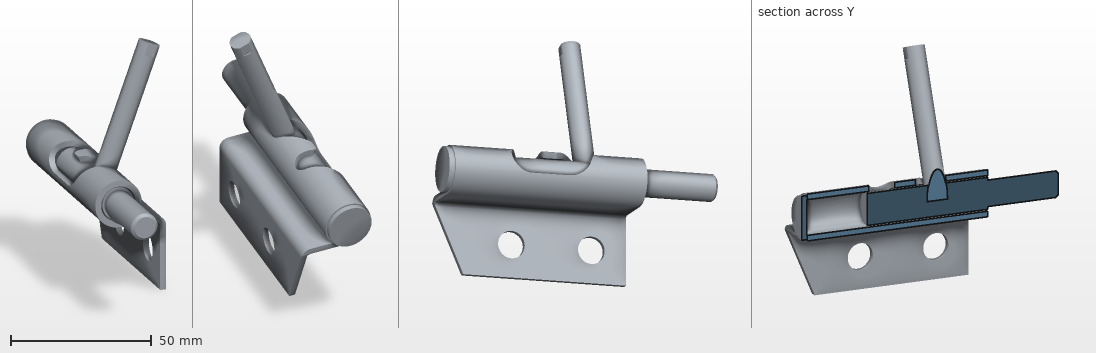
import cadquery as cq
import math


tube_length = 72.0
tube_radius = 8.8
plate_thickness = 2.2
bore_radius = 6.5
plate_back = 18.1
plate_bottom = -34.2
bend_inner_radius = 1.2
bend_outer_radius = bend_inner_radius + plate_thickness
corner_cut_length = 11.0
hole_diameter = 10.0
hole_positions = (29.1, 59.1)
hole_z = -22.1

cap_radius = 8.3
cap_thickness = 2.0

bolt_radius = 6.0
bolt_start = 23.9
rod_radius = 5.0
rod_projection = 27.9
rod_chamfer = 1.0

lever_x = 51.8
lever_tilt = 20.0
lever_radius = 4.0
lever_length = 55.6
flat_width = 7.1
flat_length = 4.3

slot_end_radius = 4.2
slot_end_height = tube_radius * math.radians(90 + lever_tilt)
pocket_x = 30.7
slot_bottom_height = -1.0
left_corner_x = 28.8
left_corner_radius = 6.9
right_corner_x = 42.6
right_corner_radius = 9.2
tab_tip_height = 10.0
tab_tip_end_x = 39.9
tab_corner_radius = 1.7
cut_margin = 1.0


def on_circle(circle, angle):
    """Point of an (x, y, radius) circle at an angle in radians."""
    x, y, radius = circle
    return (x + radius * math.cos(angle), y + radius * math.sin(angle))


def tangent_angle(first, second):
    """Angle of the points where the line from first to second touches both circles on its right."""
    dx = second[0] - first[0]
    dy = second[1] - first[1]
    lean = math.acos((first[2] - second[2]) / math.hypot(dx, dy))
    return math.atan2(dy, dx) - lean


def arc_round(outline, circle, start, end):
    """Line to the start of a counterclockwise arc, then the arc itself."""
    sweep = (end - start) % (2 * math.pi)
    outline = outline.lineTo(*on_circle(circle, start))
    return outline.threePointArc(on_circle(circle, start + sweep / 2), on_circle(circle, start + sweep))


def flat_slot():
    """Face of the guide slot as it lies with the tube wall unrolled."""
    left_corner = (left_corner_x, slot_bottom_height + left_corner_radius, left_corner_radius)
    right_corner = (right_corner_x, slot_bottom_height + right_corner_radius, right_corner_radius)
    lever_end = (lever_x, slot_end_height, slot_end_radius)
    pocket = (pocket_x, slot_end_height, slot_end_radius)
    tab_tip_end = (tab_tip_end_x, tab_tip_height, 0)
    tab_side_x = pocket_x + slot_end_radius
    tab_corner_inset = tab_corner_radius * (1 - math.sqrt(0.5))

    bottom = tangent_angle(left_corner, right_corner)
    right = tangent_angle(right_corner, lever_end)
    tab_slope = tangent_angle(lever_end, tab_tip_end)
    left = tangent_angle(pocket, left_corner)

    outline = cq.Workplane("XY").moveTo(*on_circle(left_corner, bottom))
    outline = arc_round(outline, right_corner, bottom, right)
    outline = arc_round(outline, lever_end, right, tab_slope)
    outline = outline.lineTo(tab_tip_end_x, tab_tip_height)
    outline = outline.lineTo(tab_side_x + tab_corner_radius, tab_tip_height)
    outline = outline.threePointArc(
        (tab_side_x + tab_corner_inset, tab_tip_height + tab_corner_inset),
        (tab_side_x, tab_tip_height + tab_corner_radius),
    )
    outline = arc_round(outline, pocket, 0, left)
    outline = arc_round(outline, left_corner, left, bottom)
    return cq.Face.makeFromWires(outline.close().wire().val())


def wrapped_slot():
    """Cutter for the guide slot, with walls that point at the tube axis."""
    to_surface = cq.Matrix([[0, -1 / tube_radius, 0, math.pi], [1, 0, 0, 0], [0, 0, 1, 0]])
    slot = flat_slot().transformGeometry(to_surface)
    inner_radius = bore_radius - cut_margin
    cylinder = cq.Solid.makeCylinder(inner_radius, tube_length)
    side = cylinder.faces("%CYLINDER")
    skin = cq.occ_impl.shapes.faceOn(side, slot)
    cutter = skin.thicken(tube_radius + cut_margin - inner_radius)
    along_x = cq.Plane(origin=(0, 0, 0), xDir=(0, 1, 0), normal=(1, 0, 0))
    return cutter.moved(cq.Location(along_x))


def slot_end_clearance():
    """Straight radial cutters that keep the slot ends wide enough for the lever right down to the bore."""
    cutters = cq.Workplane("XY").pushPoints([(pocket_x, 0), (lever_x, 0)])
    cutters = cutters.circle(slot_end_radius).extrude(tube_radius + cut_margin)
    return cutters.rotate((0, 0, 0), (1, 0, 0), -lever_tilt)


def mounting_plate():
    """Bent plate that leaves the bottom of the tube and turns down behind it."""
    shelf_top = plate_thickness - tube_radius
    plate = (
        cq.Workplane("YZ")
        .moveTo(0, -tube_radius)
        .lineTo(0, shelf_top)
        .lineTo(plate_back - bend_outer_radius, shelf_top)
        .radiusArc((plate_back, shelf_top - bend_outer_radius), bend_outer_radius)
        .lineTo(plate_back, plate_bottom)
        .lineTo(plate_back - plate_thickness, plate_bottom)
        .lineTo(plate_back - plate_thickness, -tube_radius - bend_inner_radius)
        .radiusArc((plate_back - bend_outer_radius, -tube_radius), -bend_inner_radius)
        .close()
        .extrude(tube_length)
    )
    corner = (
        cq.Workplane("XZ")
        .polyline([(0, -tube_radius), (0, plate_bottom), (corner_cut_length, plate_bottom)])
        .close()
        .extrude(-plate_back)
    )
    holes = (
        cq.Workplane("XZ")
        .pushPoints([(x, hole_z) for x in hole_positions])
        .circle(hole_diameter / 2)
        .extrude(-plate_back)
    )
    return plate.cut(corner).cut(holes)


def make_housing():
    """Slotted tube in one piece with its mounting plate."""
    tube = cq.Workplane("YZ").circle(tube_radius).extrude(tube_length)
    bore = cq.Workplane("YZ").circle(bore_radius).extrude(tube_length)
    housing = tube.union(mounting_plate()).cut(bore)
    return housing.cut(cq.Workplane(wrapped_slot())).cut(slot_end_clearance())


def make_cap():
    """Disc that closes the end of the tube."""
    return cq.Workplane("YZ").circle(cap_radius).extrude(-cap_thickness)


def make_lever():
    """Round lever rising from the bolt axis, with two flats at its tip."""
    lever = cq.Workplane("XY").circle(lever_radius).extrude(lever_length)
    tip = (
        cq.Workplane("XY")
        .workplane(offset=lever_length - flat_length)
        .rect(2 * lever_radius, 2 * lever_radius)
        .rect(flat_width, 2 * lever_radius)
        .extrude(flat_length)
    )
    lever = lever.cut(tip)
    return lever.rotate((0, 0, 0), (1, 0, 0), -lever_tilt).translate((lever_x, 0, 0))


def make_bolt(lever):
    """Thick sliding bolt with a thinner rod and a socket for the lever."""
    slider_length = tube_length - bolt_start
    slider = cq.Workplane("YZ").workplane(offset=bolt_start).circle(bolt_radius).extrude(slider_length)
    rod = (
        cq.Workplane("YZ")
        .workplane(offset=tube_length)
        .circle(rod_radius)
        .extrude(rod_projection)
        .faces(">X")
        .chamfer(rod_chamfer)
    )
    return slider.union(rod).cut(lever)


housing = make_housing()
cap = make_cap()
lever = make_lever()
bolt = make_bolt(lever)

result = cq.Compound.makeCompound([body.solids().val() for body in (housing, cap, bolt, lever)])